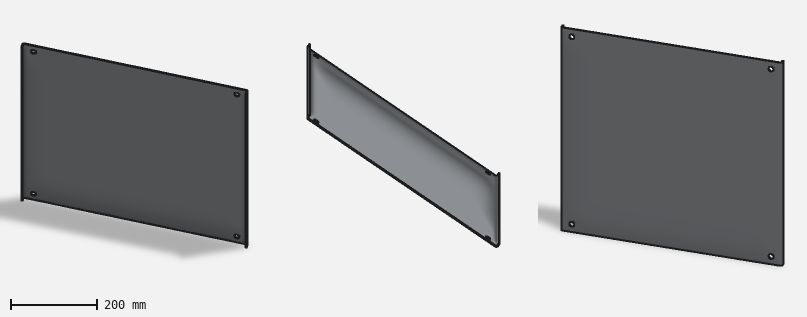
import cadquery as cq

width = 543.0
depth = 12.5
height = 530.5

sheet = 3.0
inner_bend_radius = 1.5
outer_bend_radius = inner_bend_radius + sheet

hole_diameter = 12.5
hole_spacing = 489.5


def folded_sheet():
    """Channel section with rounded bends, extruded along Z; its back face lies at Y = 0."""
    outer = (
        cq.Workplane("XY")
        .box(width, depth, height, centered=(True, False, True))
        .translate((0, -depth, 0))
        .edges("|Z and >Y")
        .fillet(outer_bend_radius)
    )
    inner = (
        cq.Workplane("XY")
        .box(width - 2 * sheet, depth, height, centered=(True, False, True))
        .translate((0, -depth - sheet, 0))
        .edges("|Z and >Y")
        .fillet(inner_bend_radius)
    )
    return outer.cut(inner)


def corner_holes():
    """Cylinders for the four mounting holes, on a square pattern."""
    return (
        cq.Workplane("XZ")
        .rect(hole_spacing, hole_spacing, forConstruction=True)
        .vertices()
        .circle(hole_diameter / 2)
        .extrude(depth)
    )


result = folded_sheet().cut(corner_holes())